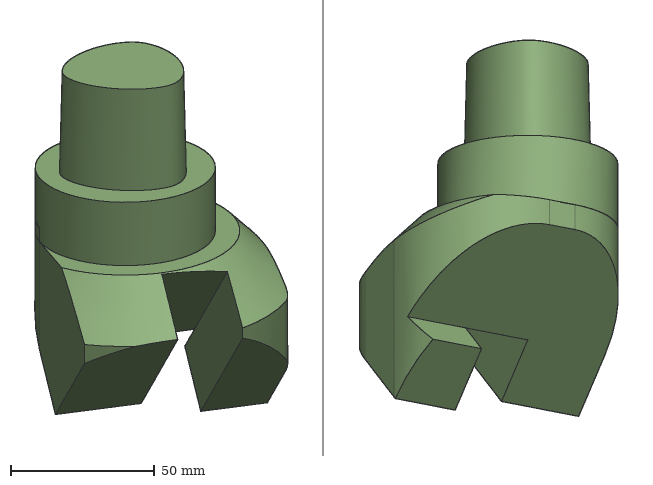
import cadquery as cq
import math


COLLAR_RADIUS = 31.5
COLLAR_HEIGHT = 24.0
STUB_HEIGHT = 38.0
STUB_BASE_RADIUS = 22.1
STUB_TOP_RADIUS = 21.2
LOBE_OFFSET = 1.5
CURVE_STEPS = 120

FRONT_RADIUS = 31.6
LEFT_FLAT = 10.5
BACK_RADIUS = 39.4
BACK_Y = LEFT_FLAT + BACK_RADIUS
BACK_CENTER_X = BACK_RADIUS - FRONT_RADIUS
OUTER_RADIUS = 59.0
BACK_CORNER_FILLET = 13.1

RIM_RADIUS = 40.0

UNDERSIDE_Z = -40.7
SEAT_Z = -40.7
END_FACE_Z = -76.0
LUG_END_Z = -62.1
SLOT_WIDTH = 25.4

TAB_WIDTH = 7.2
TAB_HEIGHT = 5.2

CLEARANCE = 13.1
BOTTOM_Z = (LUG_END_Z + END_FACE_Z) / 2 - CLEARANCE
REACH = OUTER_RADIUS + CLEARANCE


def crossing(falling_z, rising_z):
    """XZ point where a falling and a rising 45 degree plane meet."""
    return ((falling_z - rising_z) / 2, (falling_z + rising_z) / 2)


def extrude_xz(points, y_start, y_end):
    """Prism with an XZ profile, reaching from y_start to y_end."""
    profile = cq.Workplane("XZ", origin=(0, y_start, 0)).polyline(points).close()
    return profile.extrude(y_start - y_end)


def lobed_point(angle, mean_radius):
    """Point on a constant-width curve with one lobe facing -Y."""
    along = mean_radius * math.cos(angle) + LOBE_OFFSET * (2 * math.cos(2 * angle) - math.cos(4 * angle))
    across = mean_radius * math.sin(angle) - LOBE_OFFSET * (2 * math.sin(2 * angle) + math.sin(4 * angle))
    return (across, -along)


def lobed_wire(mean_radius, z):
    """Closed lobed outline at height z."""
    level = cq.Workplane("XY", origin=(0, 0, z))
    curve = level.parametricCurve(lambda t: lobed_point(2 * math.pi * t, mean_radius), N=CURVE_STEPS)
    return curve.val()


def make_shank():
    collar = cq.Workplane("XY").circle(COLLAR_RADIUS).extrude(COLLAR_HEIGHT)
    base = lobed_wire(STUB_BASE_RADIUS, COLLAR_HEIGHT)
    top = lobed_wire(STUB_TOP_RADIUS, COLLAR_HEIGHT + STUB_HEIGHT)
    stub = cq.Solid.makeLoft([base, top], True)
    return collar.union(cq.Workplane(obj=stub))


def make_head_outline():
    """Vertical block with two round corners at the left and a turned right side."""
    diagonal = math.sqrt(0.5)
    corner_x = math.sqrt(OUTER_RADIUS**2 - BACK_Y**2)
    block = (
        cq.Workplane("XY", origin=(0, 0, BOTTOM_Z))
        .moveTo(REACH, -FRONT_RADIUS)
        .lineTo(0, -FRONT_RADIUS)
        .threePointArc((-FRONT_RADIUS * diagonal, -FRONT_RADIUS * diagonal), (-FRONT_RADIUS, 0))
        .lineTo(-FRONT_RADIUS, LEFT_FLAT)
        .threePointArc(
            (BACK_CENTER_X - BACK_RADIUS * diagonal, LEFT_FLAT + BACK_RADIUS * diagonal),
            (BACK_CENTER_X, BACK_Y),
        )
        .lineTo(REACH, BACK_Y)
        .close()
        .extrude(-BOTTOM_Z)
    )
    envelope = cq.Workplane("XY", origin=(0, 0, BOTTOM_Z)).circle(OUTER_RADIUS).extrude(-BOTTOM_Z)
    back_corner = cq.selectors.NearestToPointSelector((corner_x, BACK_Y, BOTTOM_Z / 2))
    return block.intersect(envelope).edges(back_corner).fillet(BACK_CORNER_FILLET)


def make_cone_envelope():
    """Turned shape with a flat top, a 45 degree cone and a straight side."""
    profile = [
        (0, 0),
        (RIM_RADIUS, 0),
        (REACH, RIM_RADIUS - REACH),
        (REACH, BOTTOM_Z),
        (0, BOTTOM_Z),
    ]
    return cq.Workplane("XZ").polyline(profile).close().revolve(360, (0, 0, 0), (0, 1, 0))


def make_side_profile():
    """Prism between the 45 degree planes, with the lug on the +Y leg."""
    body = [
        (UNDERSIDE_Z, 0),
        crossing(UNDERSIDE_Z, END_FACE_Z),
        (-END_FACE_Z, 0),
    ]
    lug = [
        crossing(UNDERSIDE_Z, SEAT_Z),
        crossing(LUG_END_Z, SEAT_Z),
        crossing(LUG_END_Z, END_FACE_Z),
        crossing(UNDERSIDE_Z, END_FACE_Z),
    ]
    return extrude_xz(body, -REACH, REACH).union(extrude_xz(lug, SLOT_WIDTH, REACH))


def make_slot():
    """Slot from the end face up to the seat plane, beside the collar axis."""
    profile = [
        (-REACH, SEAT_Z - REACH),
        (REACH, SEAT_Z + REACH),
        (REACH, END_FACE_Z - REACH),
    ]
    return extrude_xz(profile, 0, SLOT_WIDTH)


def make_tab():
    """Sliver of the front round corner standing against the collar."""
    def on_circle(radius, x):
        return (x, -math.sqrt(radius**2 - x**2))

    profile = (
        cq.Workplane("XY")
        .moveTo(0, -FRONT_RADIUS)
        .threePointArc(on_circle(FRONT_RADIUS, -TAB_WIDTH / 2), on_circle(FRONT_RADIUS, -TAB_WIDTH))
        .lineTo(*on_circle(COLLAR_RADIUS, -TAB_WIDTH))
        .threePointArc(on_circle(COLLAR_RADIUS, -TAB_WIDTH / 2), (0, -COLLAR_RADIUS))
        .close()
    )
    return profile.extrude(TAB_HEIGHT)


def make_head():
    head = make_head_outline().intersect(make_cone_envelope())
    head = head.intersect(make_side_profile())
    return head.cut(make_slot()).union(make_tab(), clean=True)


shank = make_shank()
head = make_head()
result = cq.Compound.makeCompound([shank.val(), head.val()])